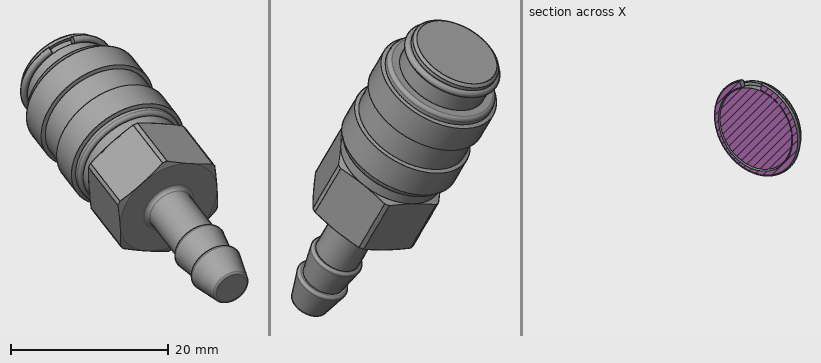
import cadquery as cq
import math

TOTAL_LENGTH = 46.15

NOSE_DIAMETER = 12.0
NOSE_FACE_DIAMETER = 11.15
NOSE_CHAMFER_LENGTH = 0.3
GROOVE_DIAMETER = 11.15
GROOVE_START = 0.88
GROOVE_WIDTH = 1.15

WIRE_DIAMETER = 1.0
RING_MEAN_DIAMETER = 12.15
RING_CENTRE = 1.45
RING_TILT = 1.1
RING_TILT_AXIS = (0, 13, -9)
GAP_START = -7.2
GAP_END = 22.5

SLEEVE_START = 4.48
SLEEVE_END = 19.0
SLEEVE_DIAMETER = 15.1
SLEEVE_FILLET = 0.5
BAND_DIAMETER = 16.15
BAND_WIDTH = 4.0
BAND_SIDE_TAPER = 0.15
BAND_STARTS = (5.65, 13.85)
NECK_DIAMETER = 14.0

HEX_SIDES = 6
HEX_START = 20.6
HEX_END = 29.07
HEX_ACROSS_FLATS = 14.0
HEX_CORNER_DIAMETER = 15.8
HEX_ROTATION = 3.0
HEX_CHAMFER_ANGLE = 15.0

STEM_DIAMETER = 6.05
STEM_FILLET = 0.55
BARB_DIAMETER = 7.25
BARB_FILLET = 0.35
FIRST_BARB_START = 37.15
FIRST_BARB_END_DIAMETER = 5.68
SECOND_BARB_START = 41.55
TIP_DIAMETER = 4.85
TIP_FILLET = 0.3


def cylinder(start, end, diameter):
    """Solid cylinder along X."""
    return cq.Workplane("YZ", origin=(start, 0, 0)).circle(diameter / 2).extrude(end - start)


def cone(start, end, start_diameter, end_diameter):
    """Solid truncated cone along X."""
    outline = [(start, 0), (start, start_diameter / 2), (end, end_diameter / 2), (end, 0)]
    return cq.Workplane("XY").polyline(outline).close().revolve(360, (0, 0, 0), (1, 0, 0))


def make_nose():
    """Chamfered nose with the snap ring groove."""
    chamfer = cone(0, NOSE_CHAMFER_LENGTH, NOSE_FACE_DIAMETER, NOSE_DIAMETER)
    nose = chamfer.union(cylinder(NOSE_CHAMFER_LENGTH, SLEEVE_START, NOSE_DIAMETER))
    groove_end = GROOVE_START + GROOVE_WIDTH
    groove_floor = cylinder(GROOVE_START, groove_end, GROOVE_DIAMETER)
    groove = cylinder(GROOVE_START, groove_end, NOSE_DIAMETER).cut(groove_floor)
    return nose.cut(groove)


def make_snap_ring():
    """Split wire ring; its wire dips slightly below the groove floor, so it joins the nose."""
    mean_radius = RING_MEAN_DIAMETER / 2
    wire_angle = 360 - (GAP_END - GAP_START)
    ring = (
        cq.Workplane("XY")
        .center(0, mean_radius)
        .circle(WIRE_DIAMETER / 2)
        .revolve(wire_angle, (0, -mean_radius, 0), (1, -mean_radius, 0))
        .rotate((0, 0, 0), (1, 0, 0), 90 + GAP_END)
    )
    return ring.rotate((0, 0, 0), RING_TILT_AXIS, RING_TILT).translate((RING_CENTRE, 0, 0))


def make_band(start, end):
    """Grip band with tapered sides; start and end bound its crest."""
    crest = cylinder(start, end, BAND_DIAMETER)
    front_side = cone(start - BAND_SIDE_TAPER, start, SLEEVE_DIAMETER, BAND_DIAMETER)
    rear_side = cone(end, end + BAND_SIDE_TAPER, BAND_DIAMETER, SLEEVE_DIAMETER)
    return front_side.union(crest).union(rear_side)


def make_sleeve():
    sleeve = cylinder(SLEEVE_START, SLEEVE_END, SLEEVE_DIAMETER).edges().fillet(SLEEVE_FILLET)
    for start in BAND_STARTS:
        sleeve = sleeve.union(make_band(start, start + BAND_WIDTH))
    return sleeve


def make_hexagon():
    length = HEX_END - HEX_START
    corner_distance = HEX_ACROSS_FLATS / math.cos(math.pi / HEX_SIDES)
    hexagon = (
        cq.Workplane("YZ", origin=(HEX_START, 0, 0))
        .polygon(HEX_SIDES, corner_distance)
        .extrude(length)
        .rotate((0, 0, 0), (1, 0, 0), 90 + HEX_ROTATION)
    )
    chamfer_height = (HEX_CORNER_DIAMETER - HEX_ACROSS_FLATS) / 2
    chamfer_length = chamfer_height * math.tan(math.radians(HEX_CHAMFER_ANGLE))
    turned_blank = (
        cylinder(HEX_START, HEX_END, HEX_CORNER_DIAMETER)
        .edges()
        .chamfer(chamfer_length, chamfer_height)
    )
    return hexagon.intersect(turned_blank)


def make_barb(start, end, end_diameter):
    barb = cone(start, end, BARB_DIAMETER, end_diameter)
    return barb.faces("<X").edges().fillet(BARB_FILLET)


def make_stem():
    """Hose stem, filleted into the hexagon, with two barbs."""
    radius = STEM_DIAMETER / 2
    fillet_diagonal = STEM_FILLET * (1 - math.sqrt(0.5))
    stem = (
        cq.Workplane("XY")
        .moveTo(HEX_END, 0)
        .lineTo(HEX_END, radius + STEM_FILLET)
        .threePointArc(
            (HEX_END + fillet_diagonal, radius + fillet_diagonal),
            (HEX_END + STEM_FILLET, radius),
        )
        .lineTo(FIRST_BARB_START, radius)
        .lineTo(FIRST_BARB_START, 0)
        .close()
        .revolve(360, (0, 0, 0), (1, 0, 0))
    )
    first_barb = make_barb(FIRST_BARB_START, SECOND_BARB_START, FIRST_BARB_END_DIAMETER)
    second_barb = make_barb(SECOND_BARB_START, TOTAL_LENGTH, TIP_DIAMETER)
    second_barb = second_barb.faces(">X").edges().fillet(TIP_FILLET)
    return stem.union(first_barb).union(second_barb)


result = (
    make_nose()
    .union(make_snap_ring())
    .union(make_sleeve())
    .union(cylinder(SLEEVE_END, HEX_START, NECK_DIAMETER))
    .union(make_hexagon())
    .union(make_stem())
)